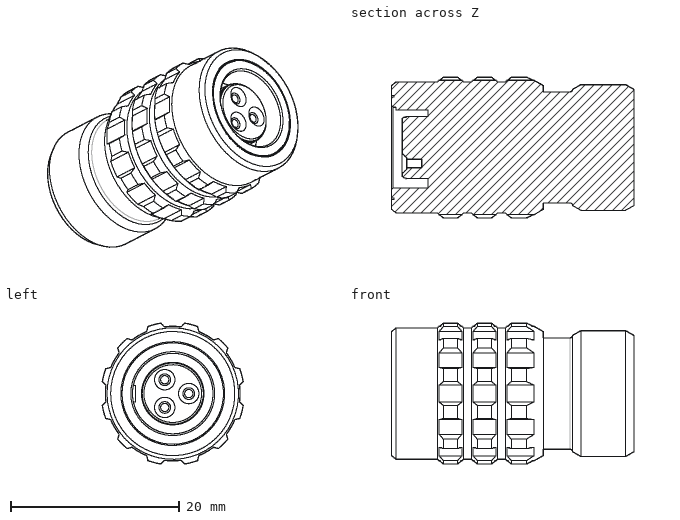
import cadquery as cq
import math

LENGTH = 28.8
BODY_RADIUS = 7.8
FRONT_CHAMFER_LENGTH = 0.55
FRONT_CHAMFER_DEPTH = 0.43

BAND_STARTS = (5.47, 9.5, 13.55)
BAND_WIDTH = 3.08
BAND_RADIUS = 8.0
TOOTH_TIP_RADIUS = 8.5
TOOTH_COUNT = 12
TOOTH_PITCH_ANGLE = 360.0 / TOOTH_COUNT
TOOTH_TIP_HALF_ANGLE = 5.4
TOOTH_BASE_HALF_ANGLE = 7.8
WEDGE_OVERRUN = 0.3

LAST_CREST_END = 16.05
SHOULDER_X = 18.03
SHOULDER_RADIUS = 7.37

NECK_RADIUS = 6.62
NECK_FILLET_RADIUS = 0.3
COLLAR_START = 21.48
COLLAR_RADIUS = 7.5
COLLAR_END_RADIUS = NECK_RADIUS + NECK_FILLET_RADIUS
COLLAR_BEVEL_LENGTH = 1.0

SOCKET_RADIUS = 4.78
SOCKET_CHAMFER = 0.2
SOCKET_DEPTH = 4.32
FACE_GROOVE_INNER_RADIUS = 6.02
FACE_GROOVE_OUTER_RADIUS = 6.15
FACE_GROOVE_DEPTH = 0.3

INSERT_RADIUS = 3.63
INSERT_CHAMFER = 0.2
INSERT_FACE_X = 1.27
INSERT_BASE_RADIUS = 3.72
INSERT_BASE_X = 1.73

CONTACT_COUNT = 3
CONTACT_CIRCLE_RADIUS = 1.9
CONTACT_FIRST_ANGLE = 180.0
CONTACT_MOUTH_RADIUS = 1.2
CONTACT_THROAT_RADIUS = 0.7
CONTACT_BORE_RADIUS = 0.5
CONTACT_MOUTH_DEPTH = 0.52
CONTACT_THROAT_DEPTH = 0.6
CONTACT_DEPTH = 2.3

KEY_HALF_WIDTH = 0.98
KEY_FLAT_Y = 4.44
KEY_START = 0.52


def revolve_x(points):
    """Turn a closed (X, radius) outline about the X axis."""
    return cq.Workplane("XY").polyline(points).close().revolve(360, (0, 0, 0), (1, 0, 0))


def band_outline(start, crest_radius, is_last):
    """(X, radius) outline of a band, its flanks truncated at crest_radius."""
    rise = crest_radius - BODY_RADIUS
    if is_last:
        run_out_slope = (SHOULDER_X - LAST_CREST_END) / (TOOTH_TIP_RADIUS - SHOULDER_RADIUS)
        crest_end = SHOULDER_X - run_out_slope * (crest_radius - SHOULDER_RADIUS)
        tail = [(crest_end, crest_radius), (SHOULDER_X, SHOULDER_RADIUS)]
    else:
        tail = [(start + BAND_WIDTH - rise, crest_radius), (start + BAND_WIDTH, BODY_RADIUS)]
    return [(start, BODY_RADIUS), (start + rise, crest_radius)] + tail


def make_shell():
    outline = [
        (0, 0),
        (0, BODY_RADIUS - FRONT_CHAMFER_DEPTH),
        (FRONT_CHAMFER_LENGTH, BODY_RADIUS),
    ]
    for start in BAND_STARTS:
        outline += band_outline(start, BAND_RADIUS, start == BAND_STARTS[-1])
    fillet_start = COLLAR_START - NECK_FILLET_RADIUS
    outline += [(SHOULDER_X, NECK_RADIUS), (fillet_start, NECK_RADIUS)]
    fillet_middle = (
        fillet_start + NECK_FILLET_RADIUS * math.sin(math.pi / 4),
        COLLAR_END_RADIUS - NECK_FILLET_RADIUS * math.cos(math.pi / 4),
    )
    collar_outline = [
        (COLLAR_START + COLLAR_BEVEL_LENGTH, COLLAR_RADIUS),
        (LENGTH - COLLAR_BEVEL_LENGTH, COLLAR_RADIUS),
        (LENGTH, COLLAR_END_RADIUS),
        (LENGTH, 0),
    ]
    return (
        cq.Workplane("XY")
        .polyline(outline)
        .threePointArc(fillet_middle, (COLLAR_START, COLLAR_END_RADIUS))
        .polyline(collar_outline, includeCurrent=True)
        .close()
        .revolve(360, (0, 0, 0), (1, 0, 0))
    )


def make_tooth_wedge():
    """Bar along X at the top of the part, narrowing outward to the tooth tip."""
    base_angle = math.radians(TOOTH_BASE_HALF_ANGLE)
    tip_angle = math.radians(TOOTH_TIP_HALF_ANGLE)
    base_y = BAND_RADIUS * math.sin(base_angle)
    base_z = BAND_RADIUS * math.cos(base_angle)
    tip_y = TOOTH_TIP_RADIUS * math.sin(tip_angle)
    tip_z = TOOTH_TIP_RADIUS * math.cos(tip_angle)
    taper = (base_y - tip_y) / (tip_z - base_z)
    outer_z = TOOTH_TIP_RADIUS + WEDGE_OVERRUN
    inner_z = NECK_RADIUS
    outer_y = tip_y - taper * (outer_z - tip_z)
    inner_y = base_y + taper * (base_z - inner_z)
    section = [(-inner_y, inner_z), (-outer_y, outer_z), (outer_y, outer_z), (inner_y, inner_z)]
    return cq.Workplane("YZ").polyline(section).close().extrude(LENGTH)


def make_teeth():
    """Every band at full tooth height, kept only where the tooth wedges are."""
    first = BAND_STARTS[0]
    outline = [(first, NECK_RADIUS)]
    for start in BAND_STARTS:
        outline += band_outline(start, TOOTH_TIP_RADIUS, start == BAND_STARTS[-1])
    outline.append((SHOULDER_X, NECK_RADIUS))
    rings = revolve_x(outline)

    wedge = make_tooth_wedge()
    teeth = []
    for index in range(TOOTH_COUNT):
        angle = (index + 0.5) * TOOTH_PITCH_ANGLE
        teeth.append(rings.intersect(wedge.rotate((0, 0, 0), (1, 0, 0), angle)))
    return teeth


def make_socket():
    return revolve_x([
        (0, 0),
        (0, SOCKET_RADIUS + SOCKET_CHAMFER),
        (SOCKET_CHAMFER, SOCKET_RADIUS),
        (SOCKET_DEPTH, SOCKET_RADIUS),
        (SOCKET_DEPTH, 0),
    ])


def make_face_groove():
    return revolve_x([
        (0, FACE_GROOVE_INNER_RADIUS),
        (0, FACE_GROOVE_OUTER_RADIUS),
        (FACE_GROOVE_DEPTH, FACE_GROOVE_OUTER_RADIUS),
        (FACE_GROOVE_DEPTH, FACE_GROOVE_INNER_RADIUS),
    ])


def make_contact_hole():
    """Stepped hole on the X axis, opening at the insert face."""
    return revolve_x([
        (INSERT_FACE_X, 0),
        (INSERT_FACE_X, CONTACT_MOUTH_RADIUS),
        (INSERT_FACE_X + CONTACT_MOUTH_DEPTH, CONTACT_THROAT_RADIUS),
        (INSERT_FACE_X + CONTACT_THROAT_DEPTH, CONTACT_BORE_RADIUS),
        (INSERT_FACE_X + CONTACT_DEPTH, CONTACT_BORE_RADIUS),
        (INSERT_FACE_X + CONTACT_DEPTH, 0),
    ])


def make_insert():
    """Chamfered contact carrier on a slightly wider base."""
    insert = revolve_x([
        (INSERT_FACE_X, 0),
        (INSERT_FACE_X, INSERT_RADIUS - INSERT_CHAMFER),
        (INSERT_FACE_X + INSERT_CHAMFER, INSERT_RADIUS),
        (INSERT_BASE_X, INSERT_RADIUS),
        (INSERT_BASE_X, INSERT_BASE_RADIUS),
        (SOCKET_DEPTH, INSERT_BASE_RADIUS),
        (SOCKET_DEPTH, 0),
    ])
    hole = make_contact_hole().translate((0, CONTACT_CIRCLE_RADIUS, 0))
    for index in range(CONTACT_COUNT):
        angle = CONTACT_FIRST_ANGLE + index * 360.0 / CONTACT_COUNT
        insert = insert.cut(hole.rotate((0, 0, 0), (1, 0, 0), angle))
    return insert


def make_key():
    """Flat-topped key with a round front end, reaching into the socket wall."""
    round_center = KEY_START + KEY_HALF_WIDTH
    key_height = SOCKET_RADIUS + SOCKET_CHAMFER - KEY_FLAT_Y
    return (
        cq.Workplane("XZ", origin=(0, KEY_FLAT_Y, 0))
        .moveTo(SOCKET_DEPTH, -KEY_HALF_WIDTH)
        .lineTo(round_center, -KEY_HALF_WIDTH)
        .threePointArc((KEY_START, 0), (round_center, KEY_HALF_WIDTH))
        .lineTo(SOCKET_DEPTH, KEY_HALF_WIDTH)
        .close()
        .extrude(-key_height)
    )


result = make_shell()
for tooth in make_teeth():
    result = result.union(tooth)
result = result.cut(make_socket()).cut(make_face_groove())
result = result.union(make_key()).union(make_insert())